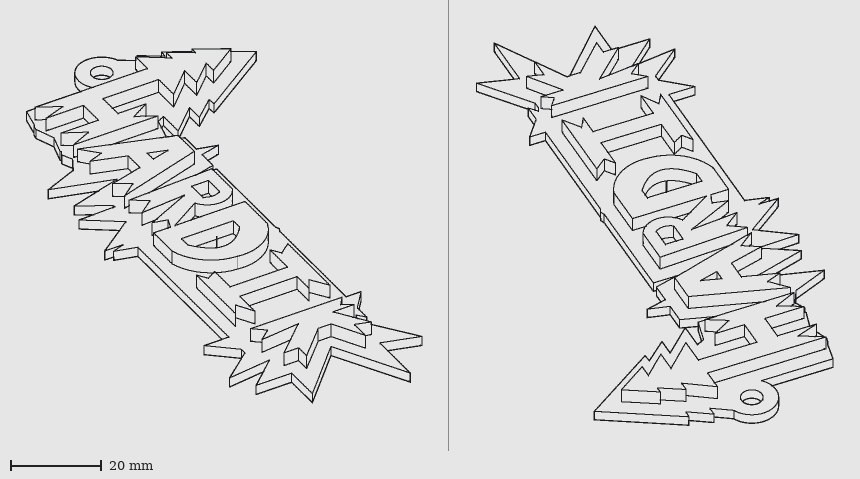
import cadquery as cq


plate_thickness = 2.5
letter_height = 3.5

baseline = 0.0
low_baseline = -1.7
cap_top = 21.7
serif_depth = 4.2
low_serif_top = low_baseline + serif_depth
margin = 3.3
plate_top = cap_top + margin
plate_bottom = low_baseline - margin

eye_x = -7.9
eye_y = cap_top
eye_radius = 6.0
eye_hole_diameter = 5.0

plate_left = -3.7
k_block_left = 92.5
plate_right = 124.5
plate_lowest = -12.7
tree_tip_y = 55.2

h_left_stem = 4.8
h_right_stem = 11.3
h_right = 16.6
h_bar_bottom = 9.5
h_bar_top = 14.5
h_notch = 5.4
tier_low = 28.8
tier_middle = 35.4
tier_high = 41.0

d_left = 54.2
d_counter_left = 59.2
d_counter_right_end = 62.0
d_counter_top = 15.8

i_left = 72.8
i_right = 91.0
i_stem_left = 80.4
i_stem_right = 84.5
i_serif_bottom = 17.2

k_left = 96.3
k_inner = 100.0
k_waist = 103.8
k_arm_right = 111.4

pin_x = 62.5
pin_y = 9.5
pin_diameter = 0.1


def raised(outline):
    """Extrude an outline from the top of the plate to the face of the letters."""
    return outline.extrude(letter_height)


def letter_plane():
    return cq.Workplane("XY").workplane(offset=plate_thickness)


def make_plate():
    tree_right = [(2.5, tree_tip_y), (14.8, 37.1), (12.9, 37.0), (17.6, 31.7), (13.3, 31.7),
                  (19.6, plate_top), (13.3, plate_top), (14.3, 23.1)]
    top_edge = [(20.0, cap_top), (20.0, 17.0), (22.5, plate_top), (27.5, plate_top), (28.8, 30.0),
                (30.0, plate_top), (34.7, plate_top), (36.3, 19.2), (36.3, plate_top),
                (61.9, plate_top), (62.8, 25.5), (63.8, plate_top)]
    burst = [(k_block_left, plate_top), (k_block_left, 28.9), (97.3, plate_top), (101.4, plate_top),
             (99.5, 23.4), (100.6, 23.0), (102.3, 23.0), (113.9, 31.8), (111.2, 22.5),
             (plate_right, 22.5), (107.0, 12.6), (120.2, baseline), (111.2, baseline), (111.2, -9.1),
             (104.5, -1.7), (105.9, plate_lowest), (99.3, plate_bottom), (97.8, plate_bottom),
             (k_block_left, -11.3), (k_block_left, plate_bottom)]
    icicles = [(53.0, plate_bottom), (51.6, -10.4), (50.5, -7.3), (50.5, -12.0), (43.3, -2.4),
               (37.5, -11.0), (37.2, -1.5), (36.7, -1.7), (32.4, -9.1), (28.5, 4.2), (24.2, -11.0),
               (20.6, -2.4)]
    h_feet = [(17.0, -0.4), (14.4, -1.7), (13.3, -1.1), (12.9, -1.2), (7.9, 0.1), (3.2, -1.7), (1.8, -1.4),
              (1.7, -1.1), (plate_left, baseline)]
    tree_left = [(plate_left, plate_top), (-11.6, plate_top), (-7.3, 31.7), (-9.5, 31.7),
                 (-6.2, 37.0), (-8.0, 37.1)]
    outline = tree_right + top_edge + burst + icicles + h_feet + tree_left
    plate = cq.Workplane("XY").polyline(outline).close().extrude(plate_thickness)
    eye = cq.Workplane("XY").center(eye_x, eye_y)
    plate = plate.union(eye.circle(eye_radius).extrude(plate_thickness))
    return plate.cut(eye.circle(eye_hole_diameter / 2).extrude(plate_thickness))


def make_h():
    tree_right = [(2.9, 48.4), (8.0, tier_high), (h_left_stem, tier_high), (10.1, tier_middle),
                  (h_left_stem, tier_middle), (h_right_stem, tier_low), (h_left_stem, tier_low)]
    right_stem = [(h_left_stem, h_bar_top), (h_right_stem, h_bar_top), (h_right_stem, cap_top),
                  (14.1, 17.0), (h_right, cap_top), (h_right, baseline), (14.1, h_notch),
                  (h_right_stem, baseline), (h_right_stem, h_bar_bottom)]
    left_stem = [(h_left_stem, h_bar_bottom), (h_left_stem, baseline), (2.9, h_notch),
                 (0, baseline), (0, tier_low)]
    tree_left = [(-5.1, tier_low), (-0.7, tier_middle), (-3.0, tier_middle), (0.1, tier_high),
                 (-1.4, tier_high)]
    return raised(letter_plane().polyline(tree_right + right_stem + left_stem + tree_left).close())


def make_a():
    outline = [(25.2, cap_top), (32.2, cap_top), (38.9, baseline), (35.8, 3.9), (33.6, baseline),
               (31.4, 8.3), (26.3, 8.3), (23.8, baseline), (22.4, 3.7), (18.4, baseline)]
    counter = [(28.9, 17.0), (30.2, 12.5), (27.5, 12.5)]
    return raised(letter_plane().polyline(outline).close().polyline(counter).close())


def make_r():
    outline = (
        letter_plane()
        .moveTo(39.9, cap_top)
        .lineTo(48.7, cap_top)
        .threePointArc((51.9, 16.2), (49.1, 11.9))
        .polyline([(d_left, 3.7), (d_left, 2.6), (51.6, 3.6), (50.8, baseline), (45.4, 11.5),
                   (46.4, baseline), (43.3, 3.9), (40.8, baseline)], includeCurrent=True)
        .close()
    )
    outline = (
        outline
        .moveTo(43.3, 18.8)
        .lineTo(48.2, 18.8)
        .threePointArc((48.8, 16.6), (48.2, 14.5))
        .lineTo(43.3, 14.5)
        .close()
    )
    return raised(outline)


def make_d():
    outline = (
        letter_plane()
        .moveTo(d_left, low_baseline)
        .lineTo(d_left, cap_top)
        .lineTo(63.9, cap_top)
        .threePointArc((68.8, 18.4), (71.3, 9.7))
        .threePointArc((68.6, 2.6), (62.3, low_baseline))
        .close()
    )
    outline = (
        outline
        .moveTo(d_counter_left, low_serif_top)
        .lineTo(d_counter_left, d_counter_top)
        .lineTo(d_counter_right_end, d_counter_top)
        .spline([(66.4, 9.3), (d_counter_right_end, low_serif_top)], includeCurrent=True)
        .close()
    )
    return raised(outline)


def make_i():
    outline = [(i_left, cap_top), (i_right, cap_top), (86.9, 18.8), (89.7, i_serif_bottom),
               (i_stem_right, i_serif_bottom), (i_stem_right, low_serif_top),
               (i_right, low_serif_top), (86.9, 0.0), (89.7, low_baseline), (i_left, low_baseline),
               (75.1, 0.0), (73.6, low_serif_top), (i_stem_left, low_serif_top),
               (i_stem_left, i_serif_bottom), (i_left, i_serif_bottom), (75.1, 18.8)]
    return raised(letter_plane().polyline(outline).close())


def make_k():
    outline = [(k_left, cap_top), (98.5, 20.0), (k_inner, 22.5), (k_inner, 17.2), (107.7, 22.5),
               (106.5, 18.8), (k_arm_right, 18.8), (k_waist, 14.5), (k_waist, 11.2),
               (k_arm_right, 3.7), (107.9, 3.7), (107.9, baseline), (k_inner, 8.3),
               (101.1, low_baseline), (98.7, 1.2), (k_left, low_baseline)]
    return raised(letter_plane().polyline(outline).close())


def make_plaque():
    plaque = make_plate()
    for letter in (make_h(), make_a(), make_r(), make_d(), make_i(), make_k()):
        plaque = plaque.union(letter)
    return plaque


def make_pin():
    return raised(letter_plane().center(pin_x, pin_y).circle(pin_diameter / 2))


plaque = make_plaque()
pin = make_pin()

result = cq.Compound.makeCompound([plaque.val(), pin.val()])